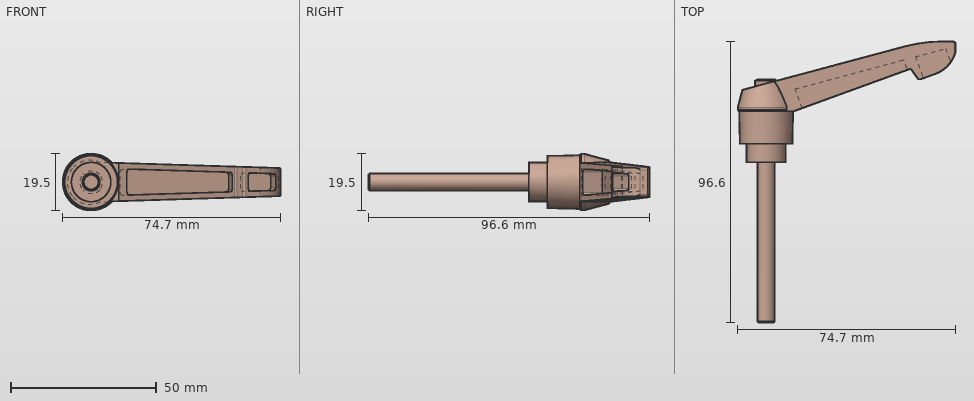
import cadquery as cq
import math


STUD_DIAMETER = 6.0
STUD_LENGTH = 55.0
STUD_CHAMFER = 0.5
COLLAR_DIAMETER = 13.5
COLLAR_TOP = 6.4

SLEEVE_BOTTOM_RADIUS = 9.05
SLEEVE_TOP_RADIUS = 9.3
HUB_BASE = 17.5
RIM_RADIUS = 9.745
RIM_CHAMFER = 0.5
RIM_TOP = 19.0
HUB_CONE_ANGLE = math.radians(15)

SCREW_RADIUS = 3.9
SCREW_TOP = 28.5
SCREW_CHAMFER_WIDTH = 1.0
SCREW_CHAMFER_HEIGHT = 0.55

TIP_X = 65.0
ARM_TOP = 41.55
TOP_SLOPE = math.radians(15)
TOP_HEIGHT_AT_AXIS = 27.08
TOP_BLEND_RADIUS = 50.0
TIP_CHAMFER = 0.75
UNDERSIDE_SLOPE = math.radians(20)
UNDERSIDE_START_X = 9.4
STEP_X = 49.6
STEP_SLOPE = math.radians(55)
NOSE_DROP = 4.57
NOSE_ARC_START_X = 58.0
NOSE_ARC_END_Y = 38.0
STEP_FILLET = 0.8
NOSE_FILLET = 1.0

ARM_HALF_AT_AXIS = 6.89
ARM_TAPER = math.radians(1.8)
TIP_EDGE_FILLET = 0.65

POCKET_WALL = 2.0
POCKET_CORNER = 1.0
POCKET_FLOOR_DROP = 4.5
MAIN_POCKET_START_X = 12.3
MAIN_POCKET_END_X = 48.4
NOSE_POCKET_START_X = 53.9
NOSE_POCKET_END_X = 63.95


def top_line_y(x):
    """Height of the sloped top of hub and arm."""
    return TOP_HEIGHT_AT_AXIS + x * math.tan(TOP_SLOPE)


def underside_y(x):
    """Height of the sloped underside between hub and step."""
    return HUB_BASE + (x - UNDERSIDE_START_X) * math.tan(UNDERSIDE_SLOPE)


def nose_y(x):
    """Height of the nose underside, parallel to the arm underside."""
    return underside_y(x) - NOSE_DROP / math.cos(UNDERSIDE_SLOPE)


def arm_half(x):
    """Half thickness of the arm in Z."""
    return ARM_HALF_AT_AXIS - x * math.tan(ARM_TAPER)


def turned(points):
    """Solid of revolution about the Y axis from (radius, y) points."""
    return cq.Workplane("XY").polyline(points).close().revolve(360, (0, 0), (0, 1))


def make_stud_and_sleeve():
    stud_radius = STUD_DIAMETER / 2
    collar_radius = COLLAR_DIAMETER / 2
    return turned([
        (0, -STUD_LENGTH),
        (stud_radius - STUD_CHAMFER, -STUD_LENGTH),
        (stud_radius, -STUD_LENGTH + STUD_CHAMFER),
        (stud_radius, 0),
        (collar_radius, 0),
        (collar_radius, COLLAR_TOP),
        (SLEEVE_BOTTOM_RADIUS, COLLAR_TOP),
        (SLEEVE_TOP_RADIUS, HUB_BASE),
        (0, HUB_BASE),
    ])


def make_hub():
    cone_top_radius = RIM_RADIUS - (ARM_TOP - RIM_TOP) * math.tan(HUB_CONE_ANGLE)
    hub = turned([
        (0, HUB_BASE),
        (RIM_RADIUS - RIM_CHAMFER, HUB_BASE),
        (RIM_RADIUS, HUB_BASE + RIM_CHAMFER),
        (RIM_RADIUS, RIM_TOP),
        (cone_top_radius, ARM_TOP),
        (0, ARM_TOP),
    ])
    below_slope = (
        cq.Workplane("XY")
        .moveTo(-RIM_RADIUS, HUB_BASE)
        .lineTo(RIM_RADIUS, HUB_BASE)
        .lineTo(RIM_RADIUS, top_line_y(RIM_RADIUS))
        .lineTo(-RIM_RADIUS, top_line_y(-RIM_RADIUS))
        .close()
        .extrude(RIM_RADIUS, both=True)
    )
    return hub.intersect(below_slope)


def make_screw_head():
    return turned([
        (0, HUB_BASE),
        (SCREW_RADIUS, HUB_BASE),
        (SCREW_RADIUS, SCREW_TOP - SCREW_CHAMFER_HEIGHT),
        (SCREW_RADIUS - SCREW_CHAMFER_WIDTH, SCREW_TOP),
        (0, SCREW_TOP),
    ])


def fillet_upright_edge(body, x, y, radius):
    """Round the edge parallel to Z that passes through (x, y)."""
    nearest = cq.selectors.NearestToPointSelector((x, y, 0))
    return body.edges("|Z").edges(nearest).fillet(radius)


def make_arm():
    bend_x = (ARM_TOP - TOP_HEIGHT_AT_AXIS) / math.tan(TOP_SLOPE)
    tangent_length = TOP_BLEND_RADIUS * math.tan(TOP_SLOPE / 2)
    blend_start_x = bend_x - tangent_length * math.cos(TOP_SLOPE)
    blend_end_x = bend_x + tangent_length

    step_run = NOSE_DROP / math.sin(STEP_SLOPE + UNDERSIDE_SLOPE) * math.cos(STEP_SLOPE)
    step_end_x = STEP_X + step_run

    profile = (
        cq.Workplane("XY")
        .moveTo(0, HUB_BASE)
        .lineTo(UNDERSIDE_START_X, HUB_BASE)
        .lineTo(STEP_X, underside_y(STEP_X))
        .lineTo(step_end_x, nose_y(step_end_x))
        .lineTo(NOSE_ARC_START_X, nose_y(NOSE_ARC_START_X))
        .tangentArcPoint((TIP_X, NOSE_ARC_END_Y), relative=False)
        .lineTo(TIP_X, ARM_TOP - TIP_CHAMFER)
        .lineTo(TIP_X - TIP_CHAMFER, ARM_TOP)
        .lineTo(blend_end_x, ARM_TOP)
        .radiusArc((blend_start_x, top_line_y(blend_start_x)), -TOP_BLEND_RADIUS)
        .lineTo(0, top_line_y(0))
        .close()
        .extrude(ARM_HALF_AT_AXIS, both=True)
    )
    profile = fillet_upright_edge(profile, STEP_X, underside_y(STEP_X), STEP_FILLET)
    profile = fillet_upright_edge(profile, step_end_x, nose_y(step_end_x), NOSE_FILLET)

    plan = (
        cq.Workplane("XZ")
        .polyline([
            (0, -arm_half(0)),
            (TIP_X, -arm_half(TIP_X)),
            (TIP_X, arm_half(TIP_X)),
            (0, arm_half(0)),
        ])
        .close()
        .extrude(-ARM_TOP)
        .edges("|Y and >X")
        .fillet(TIP_EDGE_FILLET)
    )
    return profile.intersect(plan)


def make_pocket(start_x, end_x, mouth_y):
    """Pocket cutter whose mouth lies on the line mouth_y(x) from start_x to end_x."""
    along = math.cos(UNDERSIDE_SLOPE)
    length = (end_x - start_x) / along
    start_half = arm_half(start_x) - POCKET_WALL
    end_half = arm_half(end_x) - POCKET_WALL
    mouth = cq.Plane(
        origin=(start_x, mouth_y(start_x), 0),
        xDir=(along, math.sin(UNDERSIDE_SLOPE), 0),
        normal=(-math.sin(UNDERSIDE_SLOPE), along, 0),
    )
    shaft = (
        cq.Workplane(mouth)
        .polyline([
            (0, -start_half),
            (length, -end_half),
            (length, end_half),
            (0, start_half),
        ])
        .close()
        .extrude(ARM_TOP)
        .edges(cq.selectors.ParallelDirSelector(mouth.zDir))
        .fillet(POCKET_CORNER)
    )
    below_floor = (
        cq.Workplane("XY")
        .polyline([
            (0, 0),
            (TIP_X, 0),
            (TIP_X, top_line_y(TIP_X) - POCKET_FLOOR_DROP),
            (0, top_line_y(0) - POCKET_FLOOR_DROP),
        ])
        .close()
        .extrude(ARM_HALF_AT_AXIS, both=True)
    )
    return shaft.intersect(below_floor)


main_pocket = make_pocket(MAIN_POCKET_START_X, MAIN_POCKET_END_X, underside_y)
nose_pocket = make_pocket(NOSE_POCKET_START_X, NOSE_POCKET_END_X, nose_y)
lever = make_arm().cut(main_pocket).cut(nose_pocket)
result = make_stud_and_sleeve().union(make_hub()).union(lever).union(make_screw_head())